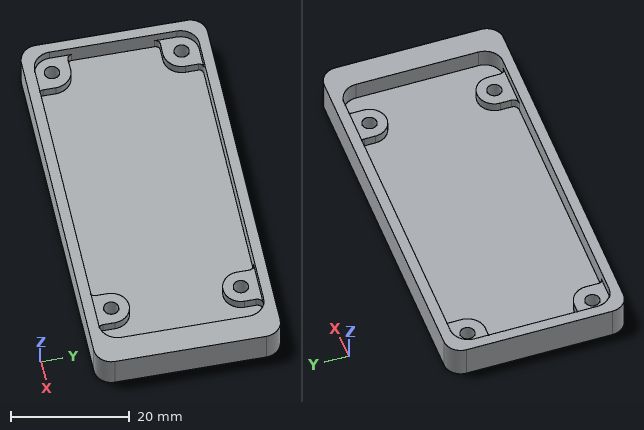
import cadquery as cq

length = 66.8
width = 32.0
height = 6.0
outer_radius = 3.0

wall = 1.9
end_wall = 4.7
pocket_depth = 3.5
pocket_radius = 3.2
floor_z = height - pocket_depth

boss_radius = 3.1
corner_boss_radius = 3.2
boss_height = 1.75
boss_fillet = 1.0
corner_boss_fillet = 0.8
hole_diameter = 2.55
hole_inset = 4.9
end_hole_inset = 12.15

pocket_left = -length / 2 + wall
pocket_length = length - wall - end_wall
pocket_width = width - 2 * wall
pocket_center_x = pocket_left + pocket_length / 2
corner_hole_x = -length / 2 + hole_inset
end_hole_x = length / 2 - end_hole_inset
hole_y = width / 2 - hole_inset


def rounded_block(size_x, size_y, size_z, radius):
    """Block standing on Z = 0 with rounded vertical edges."""
    block = cq.Workplane("XY").box(size_x, size_y, size_z, centered=(True, True, False))
    return block.edges("|Z").fillet(radius)


def boss(center_x, side, radius, fillet, to_end_wall):
    """Boss in the +Y (side = 1) or -Y (side = -1) half, blended into the pocket walls.

    A boss with to_end_wall set fills the pocket corner; any other reaches only the long wall.
    """
    wall_y = pocket_width / 2
    tip_y = hole_y - radius
    right = center_x + radius
    if to_end_wall:
        outline = (
            cq.Workplane("XY")
            .moveTo(pocket_left, wall_y)
            .lineTo(pocket_left, tip_y - fillet)
            .radiusArc((pocket_left + fillet, tip_y), fillet)
            .lineTo(center_x, tip_y)
            .radiusArc((right, hole_y), -radius)
        )
    else:
        left = center_x - radius
        outline = (
            cq.Workplane("XY")
            .moveTo(left - fillet, wall_y)
            .radiusArc((left, wall_y - fillet), fillet)
            .lineTo(left, hole_y)
            .threePointArc((center_x, tip_y), (right, hole_y))
        )
    outline = (
        outline.lineTo(right, wall_y - fillet)
        .radiusArc((right + fillet, wall_y), fillet)
        .close()
    )
    solid = outline.extrude(boss_height).translate((0, 0, floor_z))
    return solid if side > 0 else solid.mirror("XZ")


body = rounded_block(length, width, height, outer_radius)
pocket = rounded_block(pocket_length, pocket_width, pocket_depth, pocket_radius)
body = body.cut(pocket.translate((pocket_center_x, 0, floor_z)))

for side in (1, -1):
    body = body.union(boss(corner_hole_x, side, corner_boss_radius, corner_boss_fillet, True))
    body = body.union(boss(end_hole_x, side, boss_radius, boss_fillet, False))

hole_centers = [(x, y * hole_y) for x in (corner_hole_x, end_hole_x) for y in (1, -1)]
holes = cq.Workplane("XY").pushPoints(hole_centers).circle(hole_diameter / 2).extrude(height)
result = body.cut(holes)